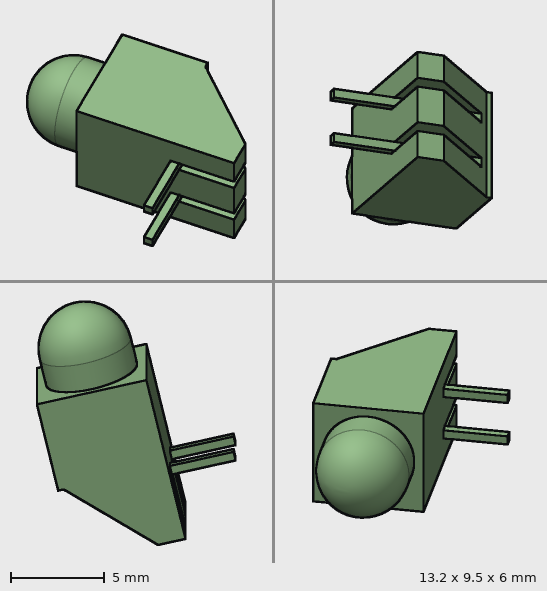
import cadquery as cq


housing_side = 6.0
housing_length = 9.2
back_edge_length = 5.0
rear_face_width = 1.5
half_side = housing_side / 2

led_diameter = 5.0
led_projection = 4.0
led_radius = led_diameter / 2
led_barrel_length = led_projection - led_radius

lead_width = 0.5
lead_pitch = 2.53
lead_x = 5.74
lead_projection = 3.5
lead_z_positions = (-lead_pitch / 2, lead_pitch / 2)
lead_front_x = lead_x - lead_width / 2


def make_housing():
    """Square block with its rear +Y corner cut off at 45 degrees below a short step."""
    slope_run = housing_length - back_edge_length
    slope_start_y = -half_side + rear_face_width + slope_run
    return (
        cq.Workplane("XY")
        .workplane(offset=-half_side)
        .moveTo(0, -half_side)
        .lineTo(housing_length, -half_side)
        .lineTo(housing_length, -half_side + rear_face_width)
        .lineTo(back_edge_length, slope_start_y)
        .lineTo(back_edge_length, half_side)
        .lineTo(0, half_side)
        .close()
        .extrude(housing_side)
    )


def make_led():
    """Round barrel with a hemispherical dome, pointing toward -X."""
    return (
        cq.Workplane("XY")
        .moveTo(0, 0)
        .lineTo(0, led_radius)
        .lineTo(-led_barrel_length, led_radius)
        .radiusArc((-led_projection, 0), -led_radius)
        .close()
        .revolve(360, (0, 0, 0), (1, 0, 0))
    )


def make_slot(z):
    """Cutter open at the rear, running through the whole housing along Y."""
    slot_length = housing_length - lead_front_x
    return (
        cq.Workplane("XY")
        .box(slot_length, housing_side, lead_width, centered=(False, True, True))
        .translate((lead_front_x, 0, z))
    )


def make_lead(z):
    """Square lead seated at the end of its slot, from the LED axis out past the -Y side."""
    inner_end_y = lead_width / 2
    lead_length = inner_end_y + half_side + lead_projection
    return (
        cq.Workplane("XY")
        .box(lead_width, lead_length, lead_width)
        .translate((lead_x, inner_end_y - lead_length / 2, z))
    )


result = make_housing().union(make_led())
for lead_z in lead_z_positions:
    result = result.cut(make_slot(lead_z)).union(make_lead(lead_z))